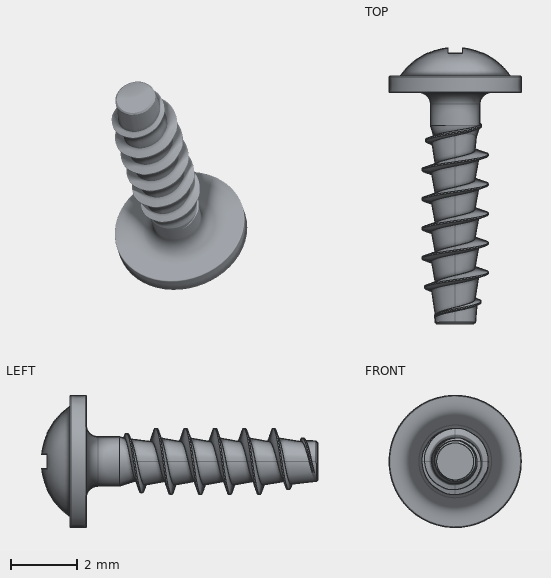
import cadquery as cq
import math


flange_radius = 2.0
flange_thickness = 0.5
flange_top_rounding = 0.05
flange_bottom_rounding = 0.025
dome_base_radius = 1.667
head_height = 1.35
cross_slot_width = 0.43
cross_slot_floor = 1.19

length = 7.0
shank_radius = 0.75
shank_length = 1.0
shank_taper_length = 0.5
taper_sink = 0.01
neck_fillet = 0.35
tip_flat_radius = 0.56

pitch = 0.89
crest_radius = 1.0
valley_radius = 0.6
crest_half_width = 0.02
full_root_reach = 0.145
steep_flank_share = 0.75
land_height = 0.115
land_share_of_ridge = 0.35
hidden_crest_radius = 0.74
emerging_turn = -0.25
full_depth_start = 1.0
full_depth_end = 5.25
fade_out_turn = 6.6
start_turn = emerging_turn - 1
end_turn = 7.0
segments_per_turn = 4
steps_per_segment = 4
tangent_step = 1e-4

slot_corner_radius = cross_slot_width / math.sqrt(2)
corner_height = head_height - flange_thickness
dome_centre_y = flange_thickness + (
    (corner_height ** 2 + slot_corner_radius ** 2 - dome_base_radius ** 2) / (2 * corner_height)
)
dome_sphere_radius = math.hypot(dome_base_radius, flange_thickness - dome_centre_y)
dome_top = dome_centre_y + dome_sphere_radius


def quarter_round(centre_x, centre_y, radius, x_sign, y_sign):
    """Middle point of a quarter circle on the given side of its centre."""
    reach = radius * math.sqrt(0.5)
    return (centre_x + x_sign * reach, centre_y + y_sign * reach)


def make_body():
    """Head, neck and shank, turned about the Y axis; the shank tapers into the thread core."""
    taper_end_radius = valley_radius - taper_sink
    neck_x = shank_radius + neck_fillet
    bottom_x = flange_radius - flange_bottom_rounding
    top_x = flange_radius - flange_top_rounding
    top_y = flange_thickness - flange_top_rounding
    dome_mid_angle = math.asin(dome_base_radius / dome_sphere_radius) / 2
    dome_mid = (
        dome_sphere_radius * math.sin(dome_mid_angle),
        dome_centre_y + dome_sphere_radius * math.cos(dome_mid_angle),
    )
    profile = (
        cq.Workplane("XY")
        .moveTo(0, -shank_length - shank_taper_length)
        .lineTo(taper_end_radius, -shank_length - shank_taper_length)
        .lineTo(shank_radius, -shank_length)
        .lineTo(shank_radius, -neck_fillet)
        .threePointArc(quarter_round(neck_x, -neck_fillet, neck_fillet, -1, 1), (neck_x, 0))
        .lineTo(bottom_x, 0)
        .threePointArc(
            quarter_round(bottom_x, flange_bottom_rounding, flange_bottom_rounding, 1, -1),
            (flange_radius, flange_bottom_rounding),
        )
        .lineTo(flange_radius, top_y)
        .threePointArc(
            quarter_round(top_x, top_y, flange_top_rounding, 1, 1),
            (top_x, flange_thickness),
        )
        .lineTo(dome_base_radius, flange_thickness)
        .threePointArc(dome_mid, (0, dome_top))
        .close()
    )
    return profile.revolve(360, (0, 0, 0), (0, 1, 0))


def make_cross_slot():
    """Two crossed slots with a common flat floor, running out through the dome."""
    height = head_height
    arm = cq.Workplane("XY").box(cross_slot_width, height, 2 * flange_radius)
    cross = arm.union(arm.rotate((0, 0, 0), (0, 1, 0), 90))
    return cross.translate((0, cross_slot_floor + height / 2, 0))


def ridge_height(turn):
    """Height of the crest above the valley: it grows at the shank and fades out at the tip."""
    full = crest_radius - valley_radius
    hidden = hidden_crest_radius - valley_radius
    if turn < full_depth_start:
        growth = (turn - emerging_turn) / (full_depth_start - emerging_turn)
        return hidden + (full - hidden) * max(growth, 0)
    if turn > full_depth_end:
        fading = (fade_out_turn - turn) / (fade_out_turn - full_depth_end)
        return full * max(fading, 0)
    return full


def root_reach(turn):
    """Axial distance from the crest line to the head-side root; a lower ridge is narrower."""
    fullness = ridge_height(turn) / (crest_radius - valley_radius)
    narrowest = 2 * crest_half_width
    return narrowest + fullness * (full_root_reach - narrowest)


def thread_section(turn):
    """Corners (radius, axial offset towards the head) of one pitch: ridge, then land.

    The last corner falls on the first corner of the following turn.
    """
    crest = valley_radius + ridge_height(turn)
    land = valley_radius + min(land_height, land_share_of_ridge * ridge_height(turn))
    return [
        (valley_radius, root_reach(turn)),
        (crest, crest_half_width),
        (crest, -crest_half_width),
        (land, -steep_flank_share * root_reach(turn)),
        (valley_radius, root_reach(turn + 1) - pitch),
    ]


def corner_point(turn, corner):
    """Place of one section corner at the given turn of the helix."""
    radius, offset = thread_section(turn)[corner]
    angle = 2 * math.pi * turn
    return cq.Vector(
        radius * math.cos(angle),
        offset - shank_length - pitch * turn,
        radius * math.sin(angle),
    )


def axis_point(point):
    """Point on the screw axis level with the given point."""
    return cq.Vector(0, point.y, 0)


def helix_edges(corner, first_turn, last_turn):
    """Path of one section corner, as a chain of smooth edges."""
    edges = []
    for segment in range(round((last_turn - first_turn) * segments_per_turn)):
        first = first_turn + segment / segments_per_turn
        last = first + 1 / segments_per_turn
        step = (last - first) / steps_per_segment
        points = [corner_point(first + step * i, corner) for i in range(steps_per_segment + 1)]
        tangents = [
            corner_point(first + tangent_step, corner) - points[0],
            points[-1] - corner_point(last - tangent_step, corner),
        ]
        edges.append(cq.Edge.makeSpline(points, tangents=tangents))
    return edges


def make_flank_faces():
    """Ruled faces between neighbouring corner paths: the outer skin of the thread."""
    corner_count = len(thread_section(start_turn))
    paths = [helix_edges(corner, start_turn, end_turn) for corner in range(corner_count)]
    faces = []
    for path, next_path in zip(paths, paths[1:]):
        for edge, next_edge in zip(path, next_path):
            faces.append(cq.Face.makeRuledSurface(edge, next_edge))
    return faces


def make_end_faces(turn):
    """Helicoid of one turn and a flat step, closing the thread down to its axis."""
    faces = []
    for edge in helix_edges(0, turn, turn + 1):
        axis_edge = cq.Edge.makeLine(axis_point(edge.startPoint()), axis_point(edge.endPoint()))
        faces.append(cq.Face.makeRuledSurface(edge, axis_edge))
    outline = [corner_point(turn, corner) for corner in range(len(thread_section(turn)))]
    for segment in range(segments_per_turn, -1, -1):
        outline.append(axis_point(corner_point(turn + segment / segments_per_turn, 0)))
    faces.append(cq.Face.makeFromWires(cq.Wire.makePolygon(outline, close=True)))
    return faces


def make_thread():
    """Solid threaded rod, bounded by the flanks and the two stepped ends."""
    faces = make_flank_faces() + make_end_faces(start_turn) + make_end_faces(end_turn)
    return cq.Workplane(obj=cq.Solid.makeSolid(cq.Shell.makeShell(faces)))


def make_tip_trim():
    """Space beyond the flat tip face and the 45 degree chamfer around it."""
    depth = 2 * pitch
    reach = crest_radius
    profile = (
        cq.Workplane("XY")
        .moveTo(0, -length)
        .lineTo(tip_flat_radius, -length)
        .lineTo(tip_flat_radius + reach, -length + reach)
        .lineTo(tip_flat_radius + reach, -length - depth)
        .lineTo(0, -length - depth)
        .close()
    )
    return profile.revolve(360, (0, 0, 0), (0, 1, 0))


head_and_shank = make_body().cut(make_cross_slot())
thread = make_thread().cut(make_tip_trim())
result = head_and_shank.union(thread)